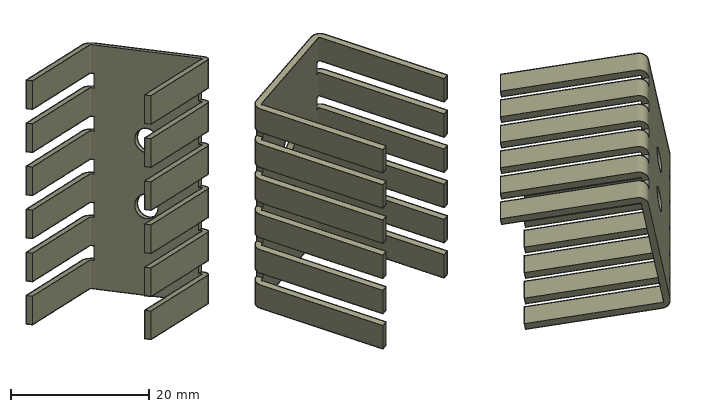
import cadquery as cq

width = 19.81
depth = 21.59
height = 36.83

sheet_thickness = 1.016
bend_outer_radius = 1.45
bend_inner_radius = 0.127

finger_count = 6
finger_height = 4.32
finger_pitch = (height - finger_height) / (finger_count - 1)
gap_height = finger_pitch - finger_height
gap_inset = 1.6

hole_diameter = 3.66
hole_spacing = 9.96


def make_channel():
    """U channel open toward -Y, with rounded bends; centred on the origin."""
    outer = cq.Workplane("XY").box(width, depth, height)
    outer = outer.edges("|Z and >Y").fillet(bend_outer_radius)
    inner_width = width - 2 * sheet_thickness
    inner = cq.Workplane("XY").box(inner_width, depth, height)
    inner = inner.edges("|Z and >Y").fillet(bend_inner_radius)
    return outer.cut(inner.translate((0, -sheet_thickness, 0)))


def make_gap(side, index):
    """Block that separates two neighbouring fingers; side is -1 or +1 along X."""
    center_x = side * (width - gap_inset) / 2
    center_z = (index - (finger_count - 2) / 2) * finger_pitch
    return cq.Workplane("XY").box(gap_inset, depth, gap_height).translate((center_x, 0, center_z))


def make_mounting_holes():
    """Pair of cylinders along Y to be cut through the back plate."""
    holes = cq.Workplane("XZ").pushPoints([(0, -hole_spacing / 2), (0, hole_spacing / 2)])
    return holes.circle(hole_diameter / 2).extrude(depth, both=True)


result = make_channel()
for side in (-1, 1):
    for index in range(finger_count - 1):
        result = result.cut(make_gap(side, index))
result = result.cut(make_mounting_holes())